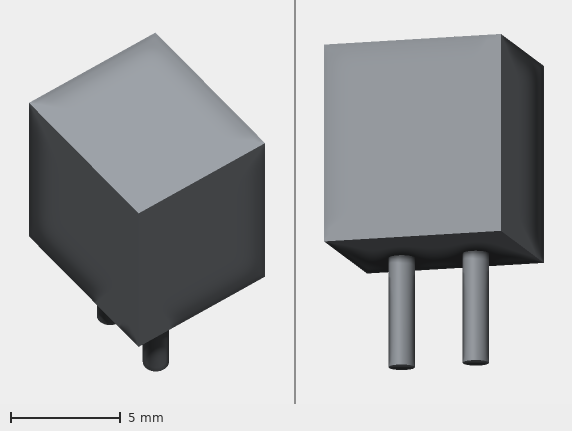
import cadquery as cq

overall_height = 14.3

housing_length = 8.4
housing_width = 7.2
pin_length = 5.1
housing_height = overall_height - pin_length

pin_diameter = 1.2
pin_pitch = 3.52
pin_row_y = -0.8


def make_housing():
    """Plain block with its bottom face at Z = 0."""
    return cq.Workplane("XY").box(
        housing_length, housing_width, housing_height, centered=(True, True, False)
    )


def make_pin(x):
    """Round pin hanging down from the bottom face of the housing."""
    return cq.Workplane("XY").center(x, pin_row_y).circle(pin_diameter / 2).extrude(-pin_length)


housing = make_housing()
pins = [make_pin(side * pin_pitch / 2) for side in (-1, 1)]

result = cq.Compound.makeCompound([housing.val(), *[pin.val() for pin in pins]])